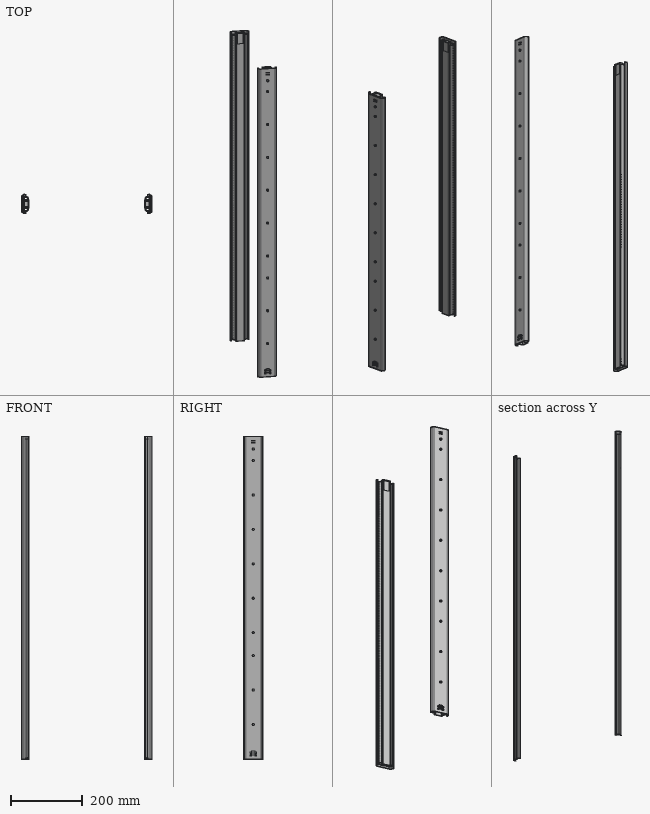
import cadquery as cq
import math


pair_width = 364.0
length = 900.0
slide_depth = 20.5

outer_sheet = 2.6
outer_width = 54.0
outer_depth = 12.5
outer_lip_bend_depth = 7.8
outer_flank_angle = math.radians(35)
outer_lip_angle = math.radians(6)
outer_back_bend_radius = 4.0
outer_lip_bend_radius = 2.8

middle_sheet = 2.8
middle_width = 41.6
middle_back = 5.2
middle_front = 19.2
middle_mouth_width = 28.0
middle_back_radius = 3.5
middle_lip_radius = 5.8
middle_top_setback = 6.5
middle_bottom_setback = 4.0

inner_sheet = 2.0
inner_width = 25.0
inner_back = 9.5
inner_corner_radius = 2.5

stop_width = 16.0
stop_length = 30.0
stop_setback = 2.0

hole_diameter = 5.6
first_hole_diameter = 5.8
first_hole_from_top = 35.0
hole_pitch = 96.0
upper_row_from_top = 67.0
upper_row_count = 6
lower_row_from_top = 611.0
lower_row_count = 3

slit_height = 0.8
slit_pitch = 5.6
long_slit = 9.0
short_slit = 4.5
top_slits_from_top = 15.0
latch_from_bottom = 17.4

latch_hole_diameter = 4.6
latch_hole_spacing_y = 13.4
latch_hole_spacing_z = 7.5
latch_holes_from_bottom = 14.7


def box(x_min, x_max, width, z_min, z_max):
    """Upright box centred on Y = 0."""
    size = (x_max - x_min, width, z_max - z_min)
    corner = (x_min, -width / 2, z_min)
    return cq.Workplane("XY").box(*size, centered=False).translate(corner)


def outer_hull(inset, depth):
    """Filled outline of the outer rail, moved inwards by an inset and closed off at a depth."""
    half_turn = (outer_flank_angle + outer_lip_angle) / 2
    lean = (outer_flank_angle - outer_lip_angle) / 2
    corner_distance = outer_lip_bend_radius / math.cos(half_turn)
    corner_x = outer_lip_bend_depth - corner_distance * math.sin(lean)
    corner_y = outer_width / 2 - outer_lip_bend_radius + corner_distance * math.cos(lean)
    back_y = corner_y - corner_x * math.tan(outer_flank_angle)
    closed_depth = depth + inset
    mouth_y = corner_y - (closed_depth - corner_x) * math.tan(outer_lip_angle)
    outline = (
        cq.Workplane("XY")
        .polyline([
            (0, -back_y),
            (corner_x, -corner_y),
            (closed_depth, -mouth_y),
            (closed_depth, mouth_y),
            (corner_x, corner_y),
            (0, back_y),
        ])
        .close()
    )
    if inset > 0:
        outline = outline.offset2D(-inset, "intersection")
    hull = outline.extrude(length)

    flank_middle = corner_x / 2
    bend_limit = (corner_x + outer_depth) / 2
    back_bends = cq.selectors.BoxSelector((-corner_x, -outer_width, 0), (flank_middle, outer_width, length))
    lip_bends = cq.selectors.BoxSelector((flank_middle, -outer_width, 0), (bend_limit, outer_width, length))
    hull = hull.edges("|Z").edges(lip_bends).fillet(outer_lip_bend_radius - inset)
    return hull.edges("|Z").edges(back_bends).fillet(outer_back_bend_radius - inset)


def back_plane(z):
    """Workplane on the back of the outer rail, with its origin at height z."""
    return cq.Workplane("YZ", origin=(0, 0, z))


def mounting_holes():
    """Cutters for the row of mounting holes in the back of the outer rail."""
    upper = [upper_row_from_top + i * hole_pitch for i in range(upper_row_count)]
    lower = [lower_row_from_top + i * hole_pitch for i in range(lower_row_count)]
    centres = [(0, -distance) for distance in upper + lower]
    row = back_plane(length).pushPoints(centres).circle(hole_diameter / 2).extrude(outer_sheet)
    first_hole = back_plane(length - first_hole_from_top).circle(first_hole_diameter / 2)
    return row.union(first_hole.extrude(outer_sheet))


def slit(width, z):
    """Cutter for one horizontal slit at height z."""
    return back_plane(z).rect(width, slit_height).extrude(outer_sheet)


def top_slits():
    """Cutters for the pair of slits near the top end."""
    z = length - top_slits_from_top
    return slit(long_slit, z + slit_pitch / 2).union(slit(long_slit, z - slit_pitch / 2))


def latch_openings():
    """Cutters for the slits and round holes of the latch near the bottom end."""
    z = latch_from_bottom
    slits = slit(long_slit, z + slit_pitch).union(slit(short_slit, z)).union(slit(short_slit, z - slit_pitch))
    holes = back_plane(latch_holes_from_bottom).rarray(latch_hole_spacing_y, latch_hole_spacing_z, 2, 2)
    return slits.union(holes.circle(latch_hole_diameter / 2).extrude(outer_sheet))


def make_outer_rail():
    rail = outer_hull(0, outer_depth).cut(outer_hull(outer_sheet, outer_depth + outer_sheet))
    return rail.cut(mounting_holes()).cut(top_slits()).cut(latch_openings())


def middle_hull(inset):
    """Filled rounded outline of the middle rail, moved inwards by an inset."""
    hull = box(
        middle_back + inset,
        middle_front - inset,
        middle_width - 2 * inset,
        middle_bottom_setback,
        length - middle_top_setback,
    )
    hull = hull.edges("|Z and <X").fillet(middle_back_radius - inset)
    return hull.edges("|Z and >X").fillet(middle_lip_radius - inset)


def make_middle_rail():
    mouth = box(middle_front - middle_lip_radius, middle_front, middle_mouth_width, 0, length)
    return middle_hull(0).cut(middle_hull(middle_sheet)).cut(mouth)


def make_inner_rail():
    rail = box(inner_back, slide_depth, inner_width, 0, length)
    rail = rail.edges("|Z and >X").fillet(inner_corner_radius)
    return rail.cut(box(inner_back, slide_depth - inner_sheet, inner_width - 2 * inner_sheet, 0, length))


def make_stop_block():
    top = length - stop_setback
    return box(middle_back + middle_sheet, slide_depth - inner_sheet, stop_width, top - stop_length, top)


bodies = []
for make_body in (make_outer_rail, make_middle_rail, make_inner_rail, make_stop_block):
    left_body = make_body().translate((-pair_width / 2, 0, 0))
    right_body = left_body.mirror("YZ")
    bodies.extend([left_body.val(), right_body.val()])

result = cq.Compound.makeCompound(bodies)